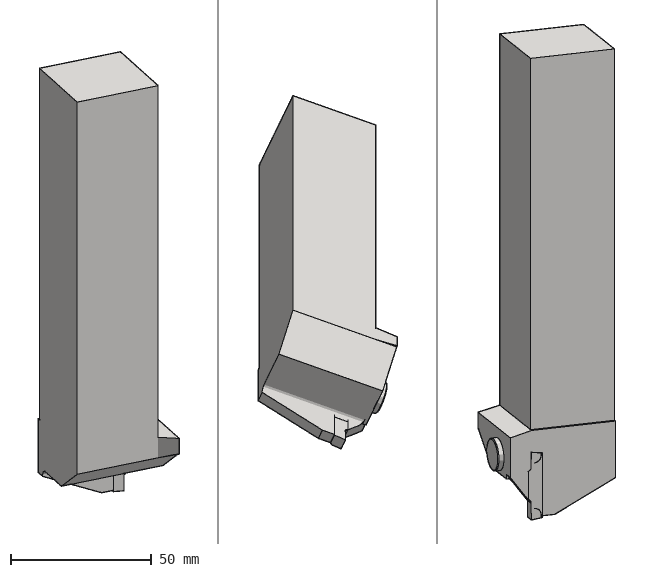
import cadquery as cq

shank_width = 31.2
shank_depth = 31.9
tip_z = -171.4

head_left = -1.0
head_top = -138.1
head_back = 40.0
head_back_top = -140.0
side_slope_top = -146.2
side_slope_end = 18.2
head_bottom = -156.5
flare = 0.5

blade_right = 2.7
blade_thickness = blade_right - head_left
blade_bottom = -170.3
blade_front_z = -159.2
blade_bottom_front = 23.1
blade_back_z = -154.7
blade_back_bottom = -165.2
blade_root_fillet = 2.0

insert_front = 27.8
insert_back = 32.0
insert_top = -146.2
insert_heel_bottom = -170.8
insert_heel_top = -146.8
bulge_back = 33.0
bulge_top = -153.4
bulge_bottom = -163.5
bulge_ramp = 1.0
lip_height = 0.3
lip_length = 4.1
lip_width = 3.8
lip_radius = 2.5

screw_diameter = 11.8
screw_x = 11.3
screw_z = -149.6
screw_end = 42.2
screw_edge = 0.3


def prism_along_x(points, start, length):
    """Extrude a (Y, Z) outline toward +X."""
    return cq.Workplane("YZ", origin=(start, 0, 0)).polyline(points).close().extrude(length)


def make_shank():
    return cq.Workplane("XY", origin=(0, 0, head_top)).rect(
        shank_width, shank_depth, centered=False).extrude(-head_top)


def make_head():
    """Thick block and thin blade, sloped on the right, top and lower edges."""
    front_outline = [
        (head_left, head_top),
        (shank_width + flare, head_top),
        (shank_width + flare, side_slope_top),
        (shank_width, side_slope_top),
        (side_slope_end, head_bottom),
        (blade_right, head_bottom),
        (blade_right, tip_z),
        (head_left, tip_z),
    ]
    head = cq.Workplane("XZ").polyline(front_outline).close().extrude(-head_back)

    plan_outline = [
        (head_left, 0),
        (shank_width, 0),
        (shank_width, shank_depth),
        (shank_width + flare, head_back),
        (head_left, head_back),
    ]
    plan = cq.Workplane("XY", origin=(0, 0, tip_z)).polyline(plan_outline).close().extrude(-tip_z)

    block_outline = [
        (0, head_top),
        (shank_depth, head_top),
        (head_back, head_back_top),
        (head_back, head_bottom),
        (0, head_bottom),
    ]
    blade_outline = [
        (0, head_top),
        (shank_depth, head_top),
        (head_back, head_back_top),
        (head_back, blade_back_z),
        (insert_back, blade_back_bottom),
        (insert_back, blade_bottom),
        (blade_bottom_front, blade_bottom),
        (0, blade_front_z),
    ]
    block = prism_along_x(block_outline, blade_right, shank_width + flare - blade_right)
    blade = prism_along_x(blade_outline, head_left, blade_thickness)
    head = head.intersect(plan).intersect(block.union(blade))
    root = cq.selectors.NearestToPointSelector((blade_right, head_back / 2, head_bottom))
    return head.edges("|Y").edges(root).fillet(blade_root_fillet)


def make_screw_head():
    screw = cq.Workplane("XZ", origin=(screw_x, head_back, screw_z)).circle(
        screw_diameter / 2).extrude(head_back - screw_end)
    return screw.faces(">Y").chamfer(screw_edge)


def make_insert_body():
    """Two-ended insert with a bulge on its back edge and pointed back corners."""
    outline = [
        (insert_front, insert_heel_bottom),
        (insert_back, tip_z),
        (insert_back, bulge_bottom - bulge_ramp),
        (bulge_back, bulge_bottom),
        (bulge_back, bulge_top),
        (insert_back, bulge_top + bulge_ramp),
        (insert_back, insert_top),
        (insert_front, insert_heel_top),
    ]
    return prism_along_x(outline, head_left, blade_thickness)


def make_lip(end_z, inward):
    """Wedge that rises to the cutting edge at one end; inward is the Z direction to the middle."""
    inner_z = end_z + inward * lip_length
    wedge_outline = [
        (head_left, end_z),
        (head_left - lip_height, end_z),
        (head_left, inner_z),
    ]
    wedge = cq.Workplane("XZ", origin=(0, insert_back - lip_width, 0)).polyline(
        wedge_outline).close().extrude(-lip_width)
    corner = cq.selectors.NearestToPointSelector((head_left, insert_back - lip_width, inner_z))
    lip_center = (head_left, insert_back - lip_width / 2, end_z + inward * lip_length / 2)
    rounded = cq.Workplane("XY").box(2 * lip_height, lip_width, lip_length).translate(lip_center)
    rounded = rounded.edges("|X").edges(corner).fillet(lip_radius)
    return wedge.intersect(rounded).intersect(
        make_insert_body().translate((-lip_height, 0, 0)))


def make_holder():
    holder = make_shank().union(make_head()).union(make_screw_head())
    return holder.cut(make_insert_body())


def make_insert():
    insert = make_insert_body()
    for end_z, inward in ((insert_top, -1), (tip_z, 1)):
        insert = insert.union(make_lip(end_z, inward))
    return insert


holder = make_holder()
insert = make_insert()
result = cq.Compound.makeCompound([holder.solids().val(), insert.solids().val()])